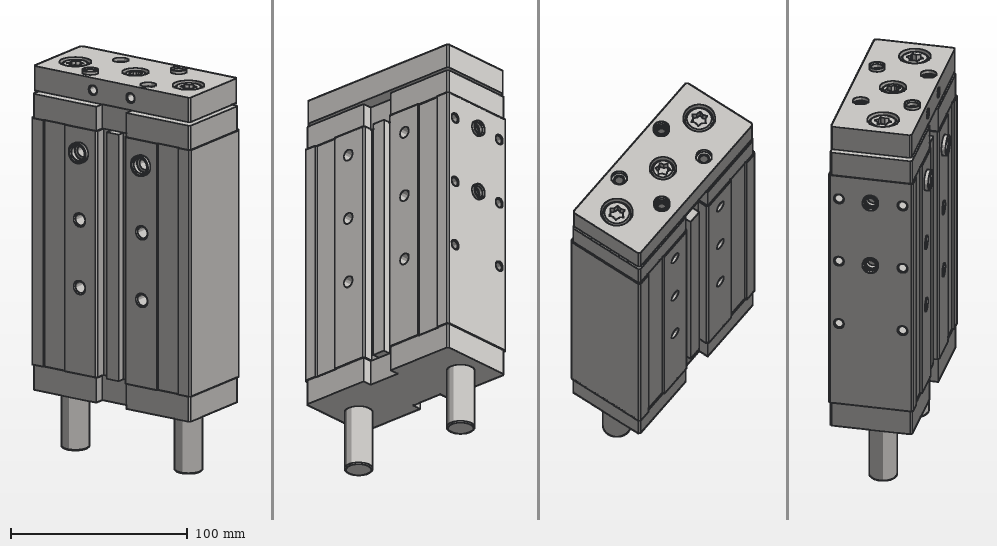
import cadquery as cq
import math


HOUSING_X = 110.0
HOUSING_Y = 49.0
HOUSING_HEIGHT = 145.9
CAP_X = 108.6
CAP_Y = 47.6
TOP_CAP_HEIGHT = 14.3
BOTTOM_CAP_HEIGHT = 15.0
EDGE_CHAMFER = 1.0

CHANNEL_HALF_WIDTH = 9.5
CAP_CHANNEL_HALF_WIDTH = 10.4
CHANNEL_MOUTH_CHAMFER = 1.0
CHANNEL_DEPTH = 6.7
RIB_WIDTH = 8.2
RIB_SETBACK = 2.0

FLAT_INNER_X = 31.8
FLAT_OUTER_X = 46.6
FLAT_DEPTH = 1.4

YOKE_X = 108.0
YOKE_Y = 47.0
YOKE_HEIGHT = 14.5
YOKE_CHAMFER = 1.0
YOKE_GAP = 2.0
ROD_X = 39.1
ROD_Y = -3.5
ROD_DIAMETER = 16.0
ROD_OVERHANG = 36.3
ROD_CHAMFER = 0.8
PISTON_ROD_DIAMETER = 12.0
PISTON_ROD_REACH = 40.0

ROD_SCREW_BORE = 18.0
ROD_SCREW_HEAD = 16.0
PISTON_SCREW_BORE = 15.0
PISTON_SCREW_HEAD = 13.0
SCREW_BORE_DEPTH = 8.0
SCREW_HEAD_SETBACK = 0.9
SCREW_RIM_BEVEL = 1.0
ROD_SCREW_SOCKET = 9.6
PISTON_SCREW_SOCKET = 8.6
SOCKET_POINTS = 6
SOCKET_DEPTH = 4.0
ROD_SOCKET_ANGLE = 90
PISTON_SOCKET_ANGLE = 0
SOCKET_VALLEY_RATIO = math.cos(math.radians(45))

SMALL_HOLE = 4.92
SMALL_HOLE_MOUTH = 6.0
SMALL_HOLE_DEPTH = 11.0
DRILL_POINT_ANGLE = 118.0
LARGE_HOLE = 6.65
LARGE_HOLE_MOUTH = 8.2

ROW_PITCH = 40.0
ROW_COUNT = 3
TOP_ROW_SETBACK = 14.5
TOP_ROW_Z = HOUSING_HEIGHT - TOP_ROW_SETBACK
ROWS_Z = [TOP_ROW_Z - row * ROW_PITCH for row in range(ROW_COUNT)]
FRONT_HOLE_X = 21.5
SIDE_HOLE_Y = 18.5
SIDE_PORT_DEPTH = 5.5
YOKE_HOLE_X = 20.0
YOKE_HOLE_PITCH_Y = 30.0
YOKE_HOLE_MID_Y = -1.0
YOKE_FRONT_HOLE_X = 13.0

SMALL_SLEEVE_OUTER = 9.0
SMALL_SLEEVE_INNER = 6.6
SMALL_SLEEVE_PROUD = 1.8
SMALL_SLEEVE_SINK = 2.2
LARGE_SLEEVE_OUTER = 12.0
LARGE_SLEEVE_INNER = 9.0
LARGE_SLEEVE_PROUD = 2.3
LARGE_SLEEVE_SINK = 2.7
SLEEVE_FUNNEL_DEPTH = 0.8

CAP_TOP_Z = HOUSING_HEIGHT + TOP_CAP_HEIGHT
YOKE_BOTTOM_Z = CAP_TOP_Z + YOKE_GAP
YOKE_TOP_Z = YOKE_BOTTOM_Z + YOKE_HEIGHT
ROD_BOTTOM_Z = -BOTTOM_CAP_HEIGHT - ROD_OVERHANG
ROD_LENGTH = YOKE_BOTTOM_Z - ROD_BOTTOM_Z

INTO_FRONT = (0, 1, 0)
INTO_LEFT = (1, 0, 0)
INTO_TOP = (0, 0, -1)

ROD_PLACES = [(-ROD_X, ROD_Y), (ROD_X, ROD_Y)]
FRONT_SLEEVE_PLACES = [(side * FRONT_HOLE_X, -HOUSING_Y / 2, TOP_ROW_Z) for side in (-1, 1)]
LEFT_SLEEVE_PLACES = [(-HOUSING_X / 2, 0, z) for z in ROWS_Z[:2]]
YOKE_HOLE_PLACES = [
    (side * YOKE_HOLE_X, YOKE_HOLE_MID_Y + row * YOKE_HOLE_PITCH_Y / 2, YOKE_TOP_Z)
    for side in (-1, 1)
    for row in (-1, 1)
]
YOKE_SLEEVE_PLACES = [YOKE_HOLE_PLACES[0], YOKE_HOLE_PLACES[3]]


def along(place, direction, distance):
    """The point at a distance from a place along a direction."""
    return tuple(p + distance * d for p, d in zip(place, direction))


def cylinder(place, direction, diameter, length):
    solid = cq.Solid.makeCylinder(diameter / 2, length, cq.Vector(*place), cq.Vector(*direction))
    return cq.Workplane(obj=solid)


def cone(place, direction, start_diameter, end_diameter, length):
    solid = cq.Solid.makeCone(
        start_diameter / 2, end_diameter / 2, length, cq.Vector(*place), cq.Vector(*direction)
    )
    return cq.Workplane(obj=solid)


def chamfered_hole(place, direction, diameter, mouth, depth):
    """A round hole whose mouth is widened by a 45 degree chamfer."""
    hole = cylinder(place, direction, diameter, depth)
    return hole.union(cone(place, direction, mouth, diameter, (mouth - diameter) / 2))


def blind_hole(place, direction):
    """A small threaded hole ending in a drill point."""
    point_length = SMALL_HOLE / 2 / math.tan(math.radians(DRILL_POINT_ANGLE / 2))
    hole = chamfered_hole(place, direction, SMALL_HOLE, SMALL_HOLE_MOUTH, SMALL_HOLE_DEPTH)
    bottom = along(place, direction, SMALL_HOLE_DEPTH)
    return hole.union(cone(bottom, direction, SMALL_HOLE, 0, point_length))


def sleeve(place, direction, outer, inner, proud, sink):
    """A centring sleeve sunk into a face, standing proud of it, with a funnel at each end."""
    length = proud + sink
    mouth = inner + 2 * SLEEVE_FUNNEL_DEPTH
    ring = cq.Workplane("XY").circle(outer / 2).circle(inner / 2).extrude(length)
    ring = ring.cut(cone((0, 0, 0), (0, 0, 1), mouth, inner, SLEEVE_FUNNEL_DEPTH))
    ring = ring.cut(cone((0, 0, length), (0, 0, -1), mouth, inner, SLEEVE_FUNNEL_DEPTH))
    start = along(place, direction, -proud)
    plane = cq.Plane(origin=start, normal=direction)
    return cq.Workplane(obj=ring.val().moved(cq.Location(plane)))


def small_sleeve(place, direction):
    return sleeve(
        place, direction, SMALL_SLEEVE_OUTER, SMALL_SLEEVE_INNER, SMALL_SLEEVE_PROUD, SMALL_SLEEVE_SINK
    )


def large_sleeve(place, direction):
    return sleeve(
        place, direction, LARGE_SLEEVE_OUTER, LARGE_SLEEVE_INNER, LARGE_SLEEVE_PROUD, LARGE_SLEEVE_SINK
    )


def block(size_x, size_y, bottom_z, height, chamfer):
    """A block with chamfered upright edges, standing on a level."""
    blank = cq.Workplane("XY", origin=(0, 0, bottom_z)).rect(size_x, size_y).extrude(height)
    return blank.edges("|Z").chamfer(chamfer)


def cut_channels(body, half_width, bottom_z, height):
    """Cut the channel into the front and back of a body."""
    channels = (
        cq.Workplane("XY", origin=(0, 0, bottom_z))
        .rarray(1, HOUSING_Y - CHANNEL_DEPTH, 1, 2)
        .rect(2 * half_width, CHANNEL_DEPTH)
        .extrude(height)
    )
    return body.cut(channels)


def cut_channel_mouths(body):
    """Chamfer the outer edges of the housing's channels."""
    mouth = CHANNEL_HALF_WIDTH + CHANNEL_MOUTH_CHAMFER
    shoulder_y = HOUSING_Y / 2 - CHANNEL_MOUTH_CHAMFER
    for side in (-1, 1):
        bevel = (
            cq.Workplane("XY")
            .moveTo(-mouth, side * HOUSING_Y / 2)
            .lineTo(-CHANNEL_HALF_WIDTH, side * shoulder_y)
            .lineTo(CHANNEL_HALF_WIDTH, side * shoulder_y)
            .lineTo(mouth, side * HOUSING_Y / 2)
            .close()
            .extrude(HOUSING_HEIGHT)
        )
        body = body.cut(bevel)
    return body


def rod_holes(body):
    """Cut the passages of the guide rods through a body."""
    for x, y in ROD_PLACES:
        body = body.cut(cylinder((x, y, YOKE_BOTTOM_Z), INTO_TOP, ROD_DIAMETER, ROD_LENGTH))
    return body


def piston_rod():
    return cylinder((0, 0, YOKE_BOTTOM_Z), INTO_TOP, PISTON_ROD_DIAMETER, PISTON_ROD_REACH)


def add_channel_ribs(body):
    floor_y = HOUSING_Y / 2 - CHANNEL_DEPTH
    rib_height = CHANNEL_DEPTH - RIB_SETBACK
    for side in (-1, 1):
        middle = (0, side * (floor_y + rib_height / 2), 0)
        rib = cq.Workplane("XY", origin=middle).rect(RIB_WIDTH, rib_height).extrude(HOUSING_HEIGHT)
        body = body.union(rib)
    return body


def cut_flats(body):
    flat_width = FLAT_OUTER_X - FLAT_INNER_X
    flat_mid_x = (FLAT_OUTER_X + FLAT_INNER_X) / 2
    flat_mid_y = (HOUSING_Y - FLAT_DEPTH) / 2
    flats = (
        cq.Workplane("XY")
        .rarray(2 * flat_mid_x, 2 * flat_mid_y, 2, 2)
        .rect(flat_width, FLAT_DEPTH)
        .extrude(HOUSING_HEIGHT)
    )
    return body.cut(flats)


def cut_front_holes(body):
    """Holes from front to back in three rows, the top row counterbored for sleeves."""
    for side in (-1, 1):
        for z in ROWS_Z:
            place = (side * FRONT_HOLE_X, -HOUSING_Y / 2, z)
            body = body.cut(chamfered_hole(place, INTO_FRONT, LARGE_HOLE, LARGE_HOLE_MOUTH, HOUSING_Y))
    for place in FRONT_SLEEVE_PLACES:
        body = body.cut(cylinder(place, INTO_FRONT, LARGE_SLEEVE_OUTER, LARGE_SLEEVE_SINK))
    return body


def cut_left_holes(body):
    """Blind holes in the left face and, between them, two seats for sleeves."""
    for side in (-1, 1):
        for z in ROWS_Z:
            body = body.cut(blind_hole((-HOUSING_X / 2, side * SIDE_HOLE_Y, z), INTO_LEFT))
    for place in LEFT_SLEEVE_PLACES:
        body = body.cut(cylinder(place, INTO_LEFT, SMALL_SLEEVE_OUTER, SMALL_SLEEVE_SINK))
        body = body.cut(cylinder(place, INTO_LEFT, SMALL_SLEEVE_INNER, SIDE_PORT_DEPTH))
    return body


def make_housing():
    body = block(HOUSING_X, HOUSING_Y, 0, HOUSING_HEIGHT, EDGE_CHAMFER)
    body = cut_channels(body, CHANNEL_HALF_WIDTH, 0, HOUSING_HEIGHT)
    body = cut_channel_mouths(body)
    body = add_channel_ribs(body)
    body = cut_flats(body)
    body = cut_front_holes(body)
    body = cut_left_holes(body)
    return rod_holes(body).cut(piston_rod())


def end_cap(bottom_z, height):
    cap = block(CAP_X, CAP_Y, bottom_z, height, EDGE_CHAMFER)
    return rod_holes(cut_channels(cap, CAP_CHANNEL_HALF_WIDTH, bottom_z, height))


def star_socket(place, width, first_tip_angle):
    """A six-pointed star socket sunk down from a place."""
    points = []
    for corner in range(2 * SOCKET_POINTS):
        radius = width / 2 if corner % 2 == 0 else width / 2 * SOCKET_VALLEY_RATIO
        angle = math.radians(first_tip_angle + 180 / SOCKET_POINTS * corner)
        points.append((radius * math.cos(angle), radius * math.sin(angle)))
    return cq.Workplane("XY", origin=place).polyline(points).close().extrude(-SOCKET_DEPTH)


def sink_screw(body, x, y, bore, head, socket, first_tip_angle):
    """Sink a screw head with a star socket into a bore in the top of the yoke."""
    place = (x, y, YOKE_TOP_Z)
    head_top = along(place, INTO_TOP, SCREW_HEAD_SETBACK)
    rim = along(head_top, INTO_TOP, SCREW_RIM_BEVEL)
    shaft_length = SCREW_BORE_DEPTH - SCREW_HEAD_SETBACK - SCREW_RIM_BEVEL
    screw = cylinder(rim, INTO_TOP, head, shaft_length)
    screw = screw.union(cone(head_top, INTO_TOP, head - 2 * SCREW_RIM_BEVEL, head, SCREW_RIM_BEVEL))
    body = body.cut(cylinder(place, INTO_TOP, bore, SCREW_BORE_DEPTH))
    return body.union(screw).cut(star_socket(head_top, socket, first_tip_angle))


def cut_yoke_holes(body):
    for place in YOKE_HOLE_PLACES:
        seat = along(place, INTO_TOP, SMALL_SLEEVE_SINK)
        hole_depth = YOKE_HEIGHT - SMALL_SLEEVE_SINK
        body = body.cut(cylinder(place, INTO_TOP, SMALL_SLEEVE_OUTER, SMALL_SLEEVE_SINK))
        body = body.cut(chamfered_hole(seat, INTO_TOP, SMALL_HOLE, SMALL_HOLE_MOUTH, hole_depth))
    for side in (-1, 1):
        place = (side * YOKE_FRONT_HOLE_X, -YOKE_Y / 2, YOKE_BOTTOM_Z + YOKE_HEIGHT / 2)
        body = body.cut(blind_hole(place, INTO_FRONT))
    return body


def make_slide():
    """The yoke with its screws, guide rods and piston rod."""
    body = block(YOKE_X, YOKE_Y, YOKE_BOTTOM_Z, YOKE_HEIGHT, YOKE_CHAMFER)
    body = cut_yoke_holes(body)
    for x, y in ROD_PLACES:
        rod = cylinder((x, y, ROD_BOTTOM_Z), (0, 0, 1), ROD_DIAMETER, ROD_LENGTH)
        body = body.union(rod.faces("<Z").edges().chamfer(ROD_CHAMFER))
        body = sink_screw(
            body, x, y, ROD_SCREW_BORE, ROD_SCREW_HEAD, ROD_SCREW_SOCKET, ROD_SOCKET_ANGLE
        )
    body = body.union(piston_rod())
    return sink_screw(
        body, 0, 0, PISTON_SCREW_BORE, PISTON_SCREW_HEAD, PISTON_SCREW_SOCKET, PISTON_SOCKET_ANGLE
    )


housing = make_housing()
top_cap = end_cap(HOUSING_HEIGHT, TOP_CAP_HEIGHT).cut(piston_rod())
bottom_cap = end_cap(-BOTTOM_CAP_HEIGHT, BOTTOM_CAP_HEIGHT)
slide = make_slide()
front_sleeves = [large_sleeve(place, INTO_FRONT) for place in FRONT_SLEEVE_PLACES]
left_sleeves = [small_sleeve(place, INTO_LEFT) for place in LEFT_SLEEVE_PLACES]
yoke_sleeves = [small_sleeve(place, INTO_TOP) for place in YOKE_SLEEVE_PLACES]

bodies = [housing, top_cap, bottom_cap, slide, *front_sleeves, *left_sleeves, *yoke_sleeves]
result = cq.Compound.makeCompound([body.solids().val() for body in bodies])